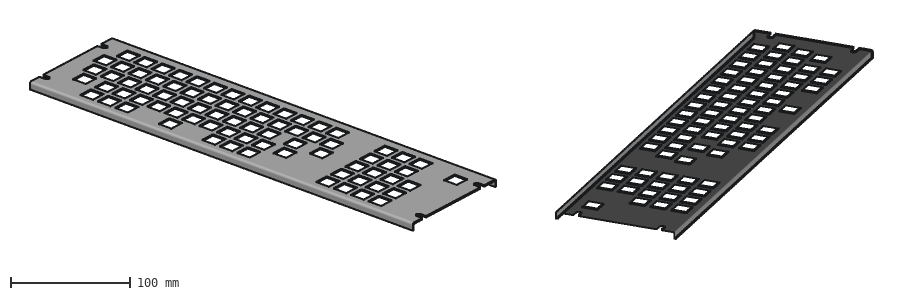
import cadquery as cq

panel_length = 418.68
panel_width = 109.5
panel_height = 7.25
sheet = 1.5
inner_bend_radius = 0.75
outer_bend_radius = inner_bend_radius + sheet

key_unit = 19.05
cutout_size = 14.0
first_key_x = -177.72
top_row_y = 36.5

main_block_rows = [
    list(range(13)),
    [column - 0.5 for column in range(14)],
    [column - 0.25 for column in range(11)] + [11.25, 12.75],
    [0] + [column + 1.25 for column in range(10)] + [11.5],
    [1.25, 2.25, 3.25, 5.75, 8.25, 9.25, 10.25],
]
keypad_start = 14.79
keypad_row_lengths = [3, 3, 4, 4, 4]
lone_key_column = 19.0
lone_key_row = 0.25

slot_width = 5.0
slot_depth = 8.5
slot_spacing = (len(main_block_rows) - 1) * key_unit
upper_slot_y = top_row_y


def box_profile(width, height, corner_radius):
    """Rectangle in the YZ plane, top edge at Z = 0, with rounded upper corners, extruded along X."""
    body = cq.Workplane("XY").box(panel_length, width, height).translate((0, 0, -height / 2))
    return body.edges("|X and >Z").fillet(corner_radius)


def bent_sheet():
    outside = box_profile(panel_width, panel_height, outer_bend_radius)
    inside = box_profile(panel_width - 2 * sheet, panel_height, inner_bend_radius)
    return outside.cut(inside.translate((0, 0, -sheet)))


def key_position(column, row):
    return (first_key_x + column * key_unit, top_row_y - row * key_unit)


def key_positions():
    positions = [key_position(lone_key_column, lone_key_row)]
    for row, columns in enumerate(main_block_rows):
        positions += [key_position(column, row) for column in columns]
    for row, length in enumerate(keypad_row_lengths):
        positions += [key_position(keypad_start + step, row) for step in range(length)]
    return positions


def key_cutouts():
    sketch = cq.Workplane("XY").pushPoints(key_positions())
    return sketch.rect(cutout_size, cutout_size).extrude(-sheet)


def mounting_slots():
    """Round-ended slots centred on the short sides, so that half of each lies in the plate."""
    slot_ys = [upper_slot_y, upper_slot_y - slot_spacing]
    centres = [(side * panel_length / 2, y) for side in (-1, 1) for y in slot_ys]
    return cq.Workplane("XY").pushPoints(centres).slot2D(2 * slot_depth, slot_width).extrude(-sheet)


result = bent_sheet().cut(key_cutouts()).cut(mounting_slots())